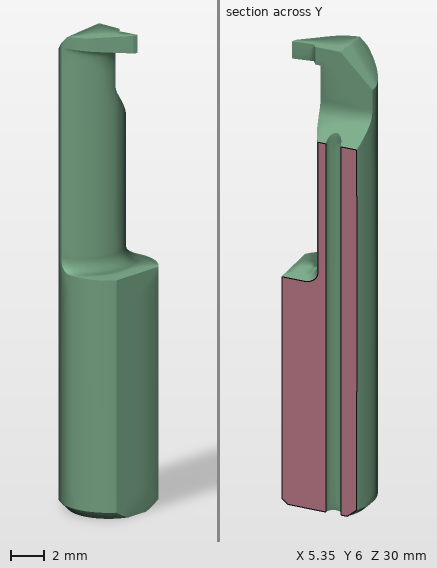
import cadquery as cq
import math

length = 30.0
shank_radius = 3.0
flat_x = 2.35
end_chamfer = 0.55

shoulder_z = 15.05
neck_x = 0.42
neck_radius = 2.85
neck_axis_x = neck_x - neck_radius
shoulder_fillet = 0.75

rake_y = 0.15
ramp_top_z = 26.07
ramp_angle = 50.0
ramp_fillet = 1.2

hole_x = -1.05
hole_y = 1.5
hole_diameter = 0.95

head_bottom_z = 28.83
relief_slope = 0.075
bevel_x = -0.9
head_arc_middle = (-0.15, -2.4)
head_arc_end = (0.72, -1.8)
tip_y = 0.0
tip_land_x = 2.25
tip_land_y = -0.3
chip_groove_start_x = 0.75
chip_groove_x = 1.0
chip_groove_y = -0.18

neck_edge_x = (shank_radius**2 - neck_radius**2 + neck_axis_x**2) / (2 * neck_axis_x)
neck_edge_y = math.sqrt(shank_radius**2 - neck_edge_x**2)

margin = 1.5
outside = shank_radius + margin


def make_shank():
    """Chamfered round bar with a full-length flat on the +X side."""
    bar = cq.Workplane("XY").circle(shank_radius).extrude(length)
    bar = bar.faces("<Z").chamfer(end_chamfer)
    flat = (
        cq.Workplane("XY")
        .box(outside, 2 * outside, length, centered=(False, True, False))
        .translate((flat_x, 0, 0))
    )
    return bar.cut(flat)


def make_neck_envelope():
    """Revolved envelope: clear of the shank below, filleted neck above."""
    foot_radius = neck_radius + shoulder_fillet
    fillet_top_z = shoulder_z + shoulder_fillet
    diagonal = shoulder_fillet * math.sqrt(0.5)
    fillet_middle = (foot_radius - diagonal, fillet_top_z - diagonal)
    wide_radius = shank_radius + outside
    return (
        cq.Workplane("XZ")
        .lineTo(wide_radius, 0)
        .lineTo(wide_radius, shoulder_z)
        .lineTo(foot_radius, shoulder_z)
        .threePointArc(fillet_middle, (neck_radius, fillet_top_z))
        .lineTo(neck_radius, length)
        .lineTo(0, length)
        .close()
        .revolve(360, (0, 0), (0, 1))
        .translate((neck_axis_x, 0, 0))
    )


def make_rake_clearance():
    """Space behind the rake face, ending in a filleted ramp."""
    ramp_end_z = ramp_top_z - (outside - rake_y) * math.tan(math.radians(ramp_angle))
    clearance = (
        cq.Workplane("YZ")
        .moveTo(rake_y, length + margin)
        .lineTo(rake_y, ramp_top_z)
        .lineTo(outside, ramp_end_z)
        .lineTo(outside, length + margin)
        .close()
        .extrude(outside, both=True)
    )
    ramp_corner = cq.selectors.NearestToPointSelector((0, rake_y, ramp_top_z))
    return clearance.edges(ramp_corner).fillet(ramp_fillet)


def make_head():
    """Hooked head with a grooved rake face and a relieved underside."""
    head_height = length - head_bottom_z
    blank = (
        cq.Workplane("XY", origin=(0, 0, head_bottom_z))
        .moveTo(neck_edge_x, rake_y)
        .lineTo(neck_edge_x, -neck_edge_y)
        .threePointArc(head_arc_middle, head_arc_end)
        .lineTo(tip_land_x, tip_land_y)
        .lineTo(flat_x, tip_y)
        .lineTo(chip_groove_x, chip_groove_y)
        .lineTo(chip_groove_start_x, rake_y)
        .close()
        .extrude(head_height)
    )
    relief_depth = outside + rake_y
    underside = (
        cq.Workplane("YZ")
        .moveTo(rake_y, head_bottom_z)
        .lineTo(-outside, head_bottom_z + relief_slope * relief_depth)
        .lineTo(-outside, head_bottom_z)
        .close()
        .extrude(outside, both=True)
    )
    return blank.cut(underside)


def make_top_relief():
    """Space above the top face and its 45 degree bevel, both falling toward -Y."""
    plane = cq.Plane(
        origin=(bevel_x, rake_y, length),
        xDir=(1, 0, 0),
        normal=(0, -1, -relief_slope),
    )
    return (
        cq.Workplane(plane)
        .lineTo(outside, 0)
        .lineTo(outside, outside)
        .lineTo(-outside, outside)
        .lineTo(-outside, -outside)
        .close()
        .extrude(2 * outside)
    )


body = make_shank().intersect(make_neck_envelope()).cut(make_rake_clearance())
body = body.union(make_head()).cut(make_top_relief())
coolant_hole = (
    cq.Workplane("XY")
    .center(hole_x, hole_y)
    .circle(hole_diameter / 2)
    .extrude(length)
)
result = body.cut(coolant_hole)